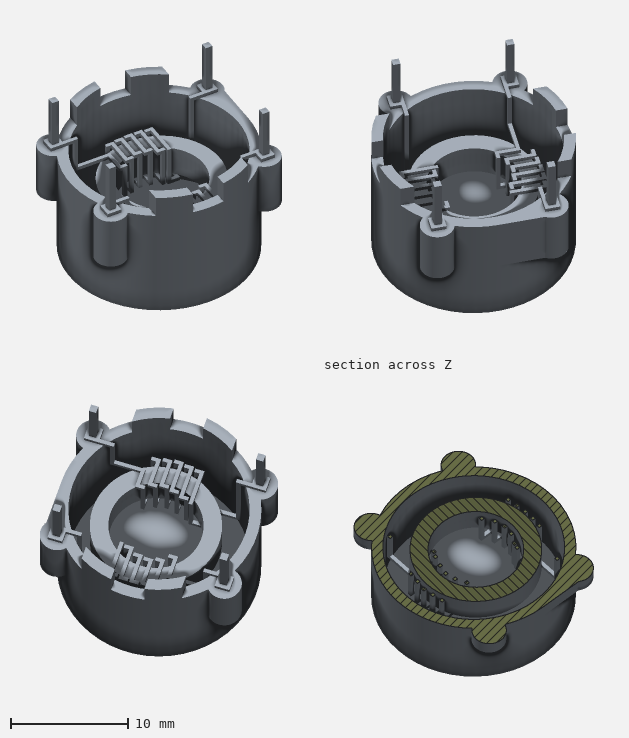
import cadquery as cq

body_radius = 8.75
wall = 1.0
floor = 1.0
rim_z = 10.5
inner_radius = body_radius - wall

tab_top_z = 12.5
tab_near_y = 1.5
tab_far_y = 4.5

pin_x = 5.0
pin_y = 7.5
outer_y = 9.0
lug_radius = outer_y - pin_y
lug_bottom_z = 5.5

pin_side = 0.65
pin_top_z = 15.5

core_outer_radius = 5.65
core_inner_radius = 4.07
core_bottom_z = 4.5
core_top_z = 7.29
core_y = 0.27

wire = 0.35
pad_side = 1.33
pad_level = rim_z + wire / 2
top_level = 7.52
bottom_level = 4.05
lead_x = pin_x - pad_side / 2 + wire / 2
drop_y = 5.65
row_span = 4.85
turns = 5
pitch = row_span / turns
return_cross_offset = 0.85

right_first_row_y = 2.9
right_inner_legs = [2.97, 3.44, 3.65, 3.44, 3.1, 2.83]
right_outer_legs = [5.81, 6.01, 6.15, 6.01, 5.87]
left_first_row_y = 2.35
left_inner_legs = [2.61, 3.24, 3.51, 3.38, 2.9, 2.75]
left_outer_legs = [5.67, 5.8, 5.89, 5.87, 5.75]

pin_points = [(x, y) for x in (-pin_x, pin_x) for y in (-pin_y, pin_y)]


def make_housing():
    """Round cup with four rim tabs, four lugs and a filled corner beside one lug."""
    cup = cq.Workplane().circle(body_radius).extrude(rim_z)
    crown = cq.Workplane().workplane(offset=rim_z).circle(body_radius).extrude(tab_top_z - rim_z)
    tab_width = tab_far_y - tab_near_y
    tab_middle = (tab_far_y + tab_near_y) / 2
    tab_bands = (
        cq.Workplane()
        .workplane(offset=rim_z)
        .pushPoints([(0, -tab_middle), (0, tab_middle)])
        .rect(2 * body_radius, tab_width)
        .extrude(tab_top_z - rim_z)
    )
    tabs = crown.intersect(tab_bands)

    lug_height = rim_z - lug_bottom_z
    lug_plane = cq.Workplane().workplane(offset=lug_bottom_z)
    lugs = lug_plane.pushPoints(pin_points).circle(lug_radius).extrude(lug_height)
    corner = [(0, 0), (-pin_x, pin_y), (-pin_x, body_radius), (0, body_radius)]
    filled_corner = lug_plane.polyline(corner).close().extrude(lug_height)

    bore = cq.Workplane().workplane(offset=floor).circle(inner_radius).extrude(tab_top_z)
    return cup.union(tabs).union(lugs).union(filled_corner).cut(bore)


def make_core():
    """Plain ring."""
    base = cq.Workplane().workplane(offset=core_bottom_z).center(0, core_y)
    return base.circle(core_outer_radius).circle(core_inner_radius).extrude(core_top_z - core_bottom_z)


def make_pad(y):
    """Square pad on a +X lug."""
    pad = cq.Workplane().workplane(offset=rim_z).center(pin_x, y)
    return pad.rect(pad_side, pad_side).extrude(wire)


def wire_run(start, end):
    """Straight square wire between two points, reaching half a wire past both."""
    sizes = [abs(b - a) + wire for a, b in zip(start, end)]
    middle = tuple((a + b) / 2 for a, b in zip(start, end))
    return cq.Workplane().box(*sizes).translate(middle)


def winding_path(first_row_y, inner_legs, outer_legs):
    """Centre line of the winding on the +X side, from the +Y pad to the -Y pad."""
    y = first_row_y
    path = [
        (lead_x, pin_y, pad_level),
        (lead_x, drop_y, pad_level),
        (lead_x, drop_y, top_level),
        (lead_x, y, top_level),
        (inner_legs[0], y, top_level),
    ]
    for turn in range(turns):
        bottom_y = y - pitch / 2
        next_y = y - pitch
        path += [
            (inner_legs[turn], bottom_y, top_level),
            (inner_legs[turn], bottom_y, bottom_level),
            (outer_legs[turn], bottom_y, bottom_level),
            (outer_legs[turn], bottom_y, top_level),
            (outer_legs[turn], next_y, top_level),
            (inner_legs[turn + 1], next_y, top_level),
        ]
        y = next_y
    cross_y = y - return_cross_offset
    path += [
        (inner_legs[-1], y, bottom_level),
        (inner_legs[-1], cross_y, bottom_level),
        (lead_x, cross_y, bottom_level),
        (lead_x, -drop_y, bottom_level),
        (lead_x, -drop_y, pad_level),
        (lead_x, -pin_y, pad_level),
    ]
    return path


def make_winding(first_row_y, inner_legs, outer_legs):
    """Winding on the +X side with the pads at both of its ends."""
    path = winding_path(first_row_y, inner_legs, outer_legs)
    winding = make_pad(pin_y).union(make_pad(-pin_y))
    for start, end in zip(path, path[1:]):
        winding = winding.union(wire_run(start, end))
    return winding


def make_pins():
    """Four square pins that stand on the lugs and pass through the pads."""
    pins = cq.Workplane().workplane(offset=rim_z).pushPoints(pin_points)
    return pins.rect(pin_side, pin_side).extrude(pin_top_z - rim_z, combine=False)


right_winding = make_winding(right_first_row_y, right_inner_legs, right_outer_legs)
left_winding = make_winding(left_first_row_y, left_inner_legs, left_outer_legs)
left_winding = left_winding.rotate((0, 0, 0), (0, 0, 1), 180)

pins = make_pins()
core = make_core()
housing = make_housing().union(right_winding).union(left_winding).cut(pins).solids()

result = cq.Compound.makeCompound([housing.val(), core.val(), *pins.vals()])